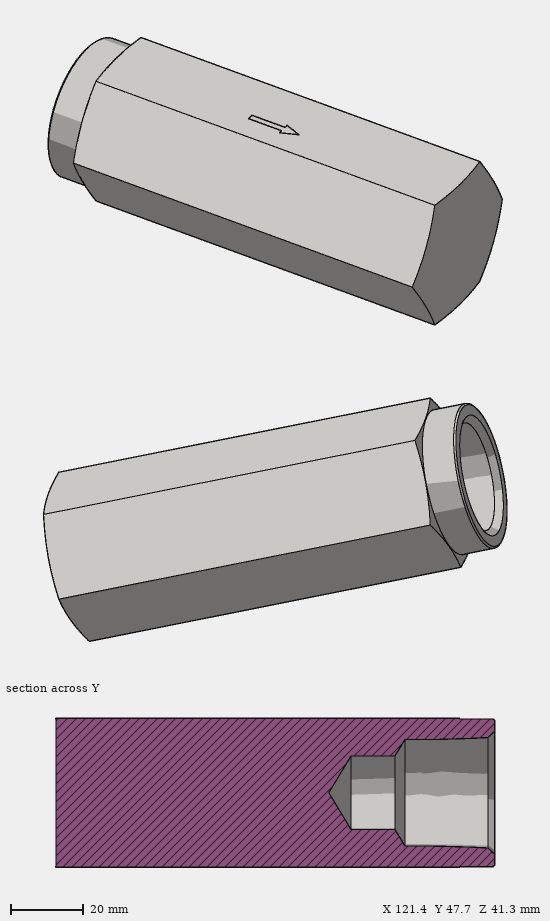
import cadquery as cq
import math

TOTAL_LENGTH = 121.4
ACROSS_FLATS = 41.3
COLLAR_DIAMETER = 40.9
COLLAR_LENGTH = 9.7
COLLAR_CHAMFER = 0.5

CORNER_CHAMFER_ANGLE = 15.0

MOUTH_DIAMETER = 34.0
PORT_DIAMETER = 30.5
PORT_END_DIAMETER = 29.4
MOUTH_DEPTH = 2.0
TAPER_DEPTH = 20.0
PORT_DEPTH = 24.9
DRILL_DIAMETER = 20.3
DRILL_LENGTH = 12.1
DRILL_POINT_ANGLE = 118.0

ARROW_START = 55.6
ARROW_NECK = 66.3
ARROW_TIP = 71.4
ARROW_Y = -3.6
ARROW_SHAFT_WIDTH = 1.8
ARROW_HEAD_WIDTH = 4.0
ARROW_DEPTH = 0.1

across_corners = ACROSS_FLATS / math.cos(math.radians(30))


def revolved_about_x(profile):
    """Solid of revolution about X from (x, radius) points that start and end on the axis."""
    return cq.Workplane("XY").polyline(profile).close().revolve(360, (0, 0), (1, 0))


def hexagonal_body():
    """Hexagonal bar with flats on top and bottom and cone-cut corners at both ends."""
    bar = (
        cq.Workplane("YZ", origin=(COLLAR_LENGTH, 0, 0))
        .polygon(6, across_corners)
        .extrude(TOTAL_LENGTH - COLLAR_LENGTH)
    )
    corner_radius = across_corners / 2
    face_radius = COLLAR_DIAMETER / 2
    setback = (corner_radius - face_radius) * math.tan(math.radians(CORNER_CHAMFER_ANGLE))
    envelope = revolved_about_x([
        (COLLAR_LENGTH, 0),
        (COLLAR_LENGTH, face_radius),
        (COLLAR_LENGTH + setback, corner_radius),
        (TOTAL_LENGTH - setback, corner_radius),
        (TOTAL_LENGTH, face_radius),
        (TOTAL_LENGTH, 0),
    ])
    return bar.intersect(envelope)


def collar():
    """Round collar with a small chamfer on its outer end."""
    return (
        cq.Workplane("YZ")
        .circle(COLLAR_DIAMETER / 2)
        .extrude(COLLAR_LENGTH)
        .faces("<X")
        .chamfer(COLLAR_CHAMFER)
    )


def port():
    """Chamfered mouth, bore that tapers and then runs straight, and a smaller drilled hole beyond it."""
    port_end_radius = PORT_END_DIAMETER / 2
    drill_radius = DRILL_DIAMETER / 2
    cone_slope = math.tan(math.radians(DRILL_POINT_ANGLE / 2))
    drill_start = PORT_DEPTH + (port_end_radius - drill_radius) / cone_slope
    drill_end = drill_start + DRILL_LENGTH
    return revolved_about_x([
        (0, 0),
        (0, MOUTH_DIAMETER / 2),
        (MOUTH_DEPTH, PORT_DIAMETER / 2),
        (TAPER_DEPTH, port_end_radius),
        (PORT_DEPTH, port_end_radius),
        (drill_start, drill_radius),
        (drill_end, drill_radius),
        (drill_end + drill_radius / cone_slope, 0),
    ])


def flow_arrow():
    """Shallow arrow pointing along +X."""
    half_shaft = ARROW_SHAFT_WIDTH / 2
    half_head = ARROW_HEAD_WIDTH / 2
    return (
        cq.Workplane("XY", origin=(0, ARROW_Y, ACROSS_FLATS / 2))
        .polyline([
            (ARROW_START, -half_shaft),
            (ARROW_NECK, -half_shaft),
            (ARROW_NECK, -half_head),
            (ARROW_TIP, 0),
            (ARROW_NECK, half_head),
            (ARROW_NECK, half_shaft),
            (ARROW_START, half_shaft),
        ])
        .close()
        .extrude(-ARROW_DEPTH)
    )


result = hexagonal_body().union(collar()).cut(port()).cut(flow_arrow())